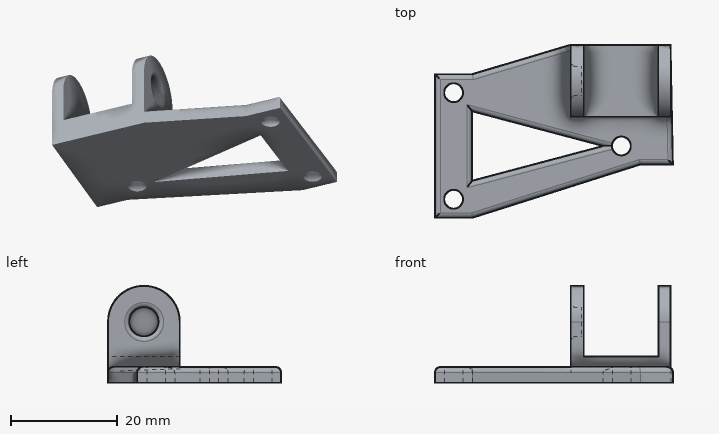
import cadquery as cq

plate_thickness = 3.0
edge_round = 1.0
screw_diameter = 3.5
edge_margin = 3.5
screw_spacing = 20.0
screw_reach = 31.5
plate_length = 44.7

left_screw_x = edge_margin
right_screw_x = left_screw_x + screw_reach
left_half_width = screw_spacing / 2 + edge_margin
left_tab_length = 2 * edge_margin
right_kink_x = right_screw_x + edge_margin

clevis_left = 25.45
clevis_right = 44.25
clevis_width = 13.5
clevis_back = 19.0
left_lug_thickness = 2.5
clevis_gap = 14.0
clevis_floor = 5.0
pivot_height = 11.5

clevis_length = clevis_right - clevis_left
lug_radius = clevis_width / 2
clevis_y = clevis_back - lug_radius

socket_diameter = 5.5
socket_depth = 2.0
socket_round = 0.9

window_left = left_tab_length
window_half_width = 6.5
window_tip = 31.5


def make_plate():
    outline = [
        (0, -left_half_width),
        (left_tab_length, -left_half_width),
        (right_kink_x, -edge_margin),
        (plate_length, -edge_margin),
        (clevis_right, clevis_back),
        (clevis_left, clevis_back),
        (left_tab_length, left_half_width),
        (0, left_half_width),
    ]
    plate = cq.Workplane("XY").polyline(outline).close().extrude(plate_thickness)
    return plate.faces(">Z").edges("not(>Y)").fillet(edge_round)


def cut_window(plate):
    outline = [
        (window_left, -window_half_width),
        (window_tip, 0),
        (window_left, window_half_width),
    ]
    window = cq.Workplane("XY").polyline(outline).close().extrude(plate_thickness)
    rim = cq.selectors.BoxSelector(
        (window_left - edge_round, -window_half_width, plate_thickness - edge_round / 2),
        (window_tip, window_half_width, plate_thickness + edge_round / 2),
    )
    return plate.cut(window).edges(rim).fillet(edge_round)


def cut_screw_holes(plate):
    centres = [
        (left_screw_x, -screw_spacing / 2),
        (left_screw_x, screw_spacing / 2),
        (right_screw_x, 0),
    ]
    holes = cq.Workplane("XY").pushPoints(centres).circle(screw_diameter / 2).extrude(plate_thickness)
    return plate.cut(holes)


def make_clevis():
    foot = plate_thickness - edge_round
    profile = (
        cq.Workplane("YZ", origin=(clevis_left, clevis_y, 0))
        .moveTo(-lug_radius, foot)
        .lineTo(lug_radius, foot)
        .lineTo(lug_radius, pivot_height)
        .threePointArc((0, pivot_height + lug_radius), (-lug_radius, pivot_height))
        .close()
    )
    gap = cq.Workplane("XY").box(
        clevis_gap, clevis_width, pivot_height + lug_radius, centered=(False, True, False)
    ).translate((clevis_left + left_lug_thickness, clevis_y, clevis_floor))
    return profile.extrude(clevis_length).cut(gap)


def cut_socket(clevis):
    socket = (
        cq.Workplane("YZ", origin=(clevis_left, clevis_y, pivot_height))
        .circle(socket_diameter / 2)
        .extrude(socket_depth)
    )
    return clevis.cut(socket).faces("<X").edges("%CIRCLE and (not >Z)").fillet(socket_round)


plate = cut_screw_holes(cut_window(make_plate()))
clevis = cut_socket(make_clevis())
result = plate.union(clevis)